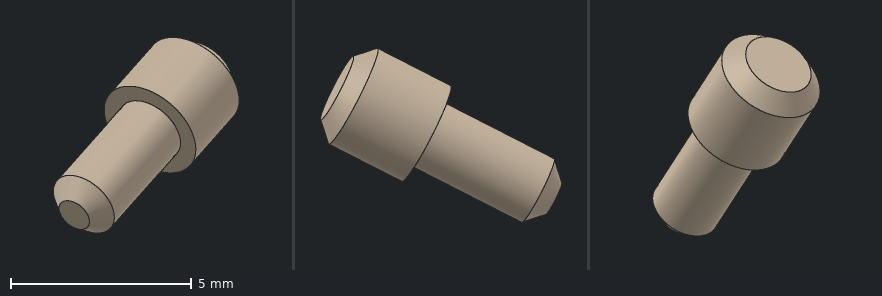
import cadquery as cq

total_length = 6.8
head_length = 2.8
head_diameter = 3.0
shank_diameter = 2.0
chamfer_size = 0.5

shank_length = total_length - head_length
shank_tip_y = -total_length / 2
shoulder_y = shank_tip_y + shank_length


def cylinder_along_y(start_y, diameter, length):
    """Solid cylinder running from start_y towards +Y."""
    base_plane = cq.Plane(origin=(0, start_y, 0), xDir=(1, 0, 0), normal=(0, 1, 0))
    return cq.Workplane(base_plane).circle(diameter / 2).extrude(length)


shank = cylinder_along_y(shank_tip_y, shank_diameter, shank_length).faces("<Y").chamfer(chamfer_size)
head = cylinder_along_y(shoulder_y, head_diameter, head_length).faces(">Y").chamfer(chamfer_size)

result = shank.union(head)